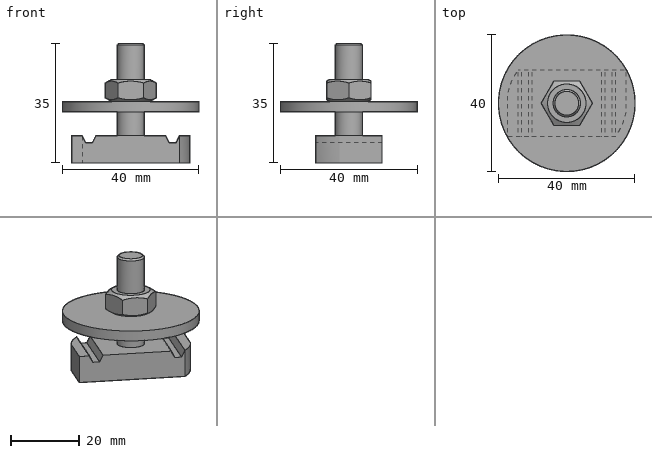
import cadquery as cq
import math

base_height = 8.0
washer_bottom = 15.0
washer_thickness = 3.0
nut_height = 6.5
total_height = 35.0

rod_diameter = 8.0
rod_chamfer = 0.5

washer_diameter = 40.0
nut_across_flats = 13.0
nut_face_diameter = 11.25
nut_chamfer_angle = 30.0

base_length = 34.5
base_width = 19.4
corner_inset_x = 3.1
corner_inset_y = 7.0
corner_arc_radius = 16.0

groove_center = 12.2
groove_top_width = 4.0
groove_floor_width = 2.0
groove_depth = 2.0


def make_base():
    """Bar whose two rounded corners are shallow arcs that bulge outward."""
    half_length = base_length / 2
    half_width = base_width / 2
    base = (
        cq.Workplane("XY")
        .moveTo(-half_length, -half_width)
        .lineTo(half_length - corner_inset_x, -half_width)
        .radiusArc((half_length, -half_width + corner_inset_y), -corner_arc_radius)
        .lineTo(half_length, half_width)
        .lineTo(-half_length + corner_inset_x, half_width)
        .radiusArc((-half_length, half_width - corner_inset_y), -corner_arc_radius)
        .close()
        .extrude(base_height)
    )
    for side in (-1, 1):
        base = base.cut(make_groove(side * groove_center))
    return base


def make_groove(center_x):
    """Cutter for one groove running the full width of the base."""
    half_top = groove_top_width / 2
    half_floor = groove_floor_width / 2
    floor_z = base_height - groove_depth
    return (
        cq.Workplane("XZ")
        .polyline([
            (center_x - half_top, base_height),
            (center_x - half_floor, floor_z),
            (center_x + half_floor, floor_z),
            (center_x + half_top, base_height),
        ])
        .close()
        .extrude(base_width / 2, both=True)
    )


def make_washer():
    return (
        cq.Workplane("XY", origin=(0, 0, washer_bottom))
        .circle(washer_diameter / 2)
        .extrude(washer_thickness)
    )


def make_nut():
    """Hexagon with corners on X, trimmed by a cone at both ends."""
    nut_bottom = washer_bottom + washer_thickness
    corner_radius = nut_across_flats / math.sqrt(3)
    face_radius = nut_face_diameter / 2
    chamfer_drop = (corner_radius - face_radius) * math.tan(math.radians(nut_chamfer_angle))
    hexagon = cq.Workplane("XY").polygon(6, 2 * corner_radius).extrude(nut_height)
    envelope = (
        cq.Workplane("XZ")
        .polyline([
            (0, 0),
            (face_radius, 0),
            (corner_radius, chamfer_drop),
            (corner_radius, nut_height - chamfer_drop),
            (face_radius, nut_height),
            (0, nut_height),
        ])
        .close()
        .revolve(360, (0, 0, 0), (0, 1, 0))
    )
    return hexagon.intersect(envelope).translate((0, 0, nut_bottom))


def make_rod():
    return (
        cq.Workplane("XY")
        .circle(rod_diameter / 2)
        .extrude(total_height)
        .faces(">Z")
        .chamfer(rod_chamfer)
    )


result = make_base().union(make_rod()).union(make_washer()).union(make_nut())